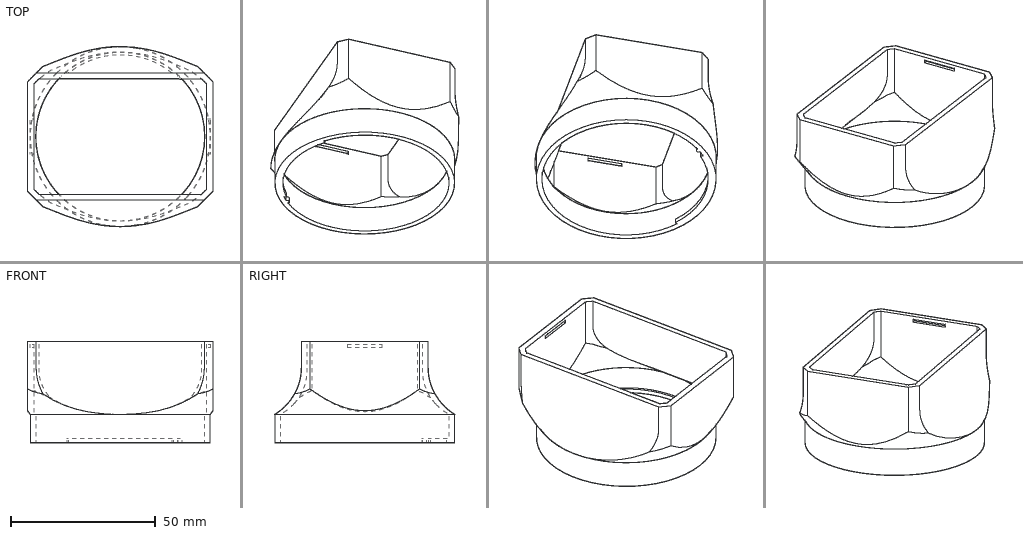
import cadquery as cq
import math

length = 64.0
hood_width = 43.8
total_height = 35.0
corner_chamfer = 3.0

end_wall = 2.2
side_wall = 2.0
inner_chamfer = 1.8

ring_height = 9.8
ring_diameter = 62.0
bore_diameter = 58.2
cone_step = 0.095
cone_slope = 0.69

flare_top = 26.0
inner_flare_top = 25.0

outer_flare_trim = 1.0
inner_flare_trim = 0.74

lug_height = 1.55
rib_depth = 0.8
rib_start_angle = 51.0
rib_end_angle = 129.0
pin_diameter = 1.9
pin_reach = 0.8
pin_angle = 45.0

slot_length = 12.0
slot_height = 1.0
slot_depth = 1.3
slot_top_gap = 1.15


def cone(base_radius):
    """Cone opening upwards from the top of the ring."""
    rise = total_height - ring_height
    top_radius = base_radius + cone_slope * rise
    profile = [(0, ring_height), (base_radius, ring_height), (top_radius, total_height), (0, total_height)]
    return cq.Workplane("XZ").polyline(profile).close().revolve(360, (0, 0, 0), (0, 1, 0))


def flared_prism(prism_length, top_width, base_width, arc_top):
    """Prism along X whose sides curve outwards below arc_top, tangent to the wall above."""
    y_top = top_width / 2
    y_base = base_width / 2
    spread = y_base - y_top
    drop = arc_top - ring_height
    radius = (drop**2 + spread**2) / (2 * spread)
    half_sweep = math.asin(drop / radius) / 2
    y_mid = y_top + radius * (1 - math.cos(half_sweep))
    z_mid = arc_top - radius * math.sin(half_sweep)
    return (
        cq.Workplane("YZ")
        .moveTo(-y_top, total_height)
        .lineTo(y_top, total_height)
        .lineTo(y_top, arc_top)
        .threePointArc((y_mid, z_mid), (y_base, ring_height))
        .lineTo(-y_base, ring_height)
        .threePointArc((-y_mid, z_mid), (-y_top, arc_top))
        .close()
        .extrude(prism_length / 2, both=True)
    )


def corner_cutter(prism_length, top_width, chamfer, flare_trim):
    """Upright prism that chamfers the wall corners at 45 degrees and trims the flare beyond them."""
    x_end = prism_length / 2
    y_side = top_width / 2
    x_edge = x_end - chamfer
    y_edge = y_side - chamfer
    y_peak = y_side + x_edge * flare_trim
    outline = [
        (x_end, y_edge), (x_edge, y_side), (0, y_peak), (-x_edge, y_side),
        (-x_end, y_edge), (-x_end, -y_edge),
        (-x_edge, -y_side), (0, -y_peak), (x_edge, -y_side), (x_end, -y_edge),
    ]
    return cq.Workplane("XY").polyline(outline).close().extrude(total_height)


def hood_volume(prism_length, top_width, base_diameter, arc_top, chamfer, flare_trim):
    """Flared, corner-trimmed prism limited below by the cone."""
    prism = flared_prism(prism_length, top_width, base_diameter, arc_top)
    trimmed = prism.intersect(corner_cutter(prism_length, top_width, chamfer, flare_trim))
    return trimmed.intersect(cone(base_diameter / 2))


def bayonet_rib():
    """Arc-shaped rib at the bottom of the bore, sunk into the ring wall."""
    inner_radius = bore_diameter / 2 - rib_depth
    outer_radius = (bore_diameter + ring_diameter) / 4
    profile = cq.Workplane("XZ").moveTo(inner_radius, 0).lineTo(outer_radius, 0)
    profile = profile.lineTo(outer_radius, lug_height).lineTo(inner_radius, lug_height).close()
    sweep = rib_end_angle - rib_start_angle
    rib = profile.revolve(sweep, (0, 0, 0), (0, -1, 0))
    return rib.rotate((0, 0, 0), (0, 0, 1), rib_end_angle)


def stop_pin():
    """Upright pin partly sunk into the bore wall."""
    centre_radius = bore_diameter / 2 - pin_reach + pin_diameter / 2
    pin = cq.Workplane("XY").center(centre_radius, 0).circle(pin_diameter / 2).extrude(lug_height)
    return pin.rotate((0, 0, 0), (0, 0, 1), pin_angle)


inner_length = length - 2 * end_wall
inner_width = hood_width - 2 * side_wall

outer_base = ring_diameter + 2 * cone_step
inner_base = bore_diameter + 2 * cone_step

outer = hood_volume(length, hood_width, outer_base, flare_top, corner_chamfer, outer_flare_trim)
inner = hood_volume(inner_length, inner_width, inner_base, inner_flare_top, inner_chamfer, inner_flare_trim)
ring = cq.Workplane("XY").circle(ring_diameter / 2).extrude(ring_height)
bore = cq.Workplane("XY").circle(bore_diameter / 2).extrude(ring_height)

slots = cq.Workplane("XY").box(inner_length + 2 * slot_depth, slot_length, slot_height)
slots = slots.translate((0, 0, total_height - slot_top_gap - slot_height / 2))

result = outer.union(ring).cut(inner).cut(bore).cut(slots)
result = result.union(bayonet_rib()).union(stop_pin())